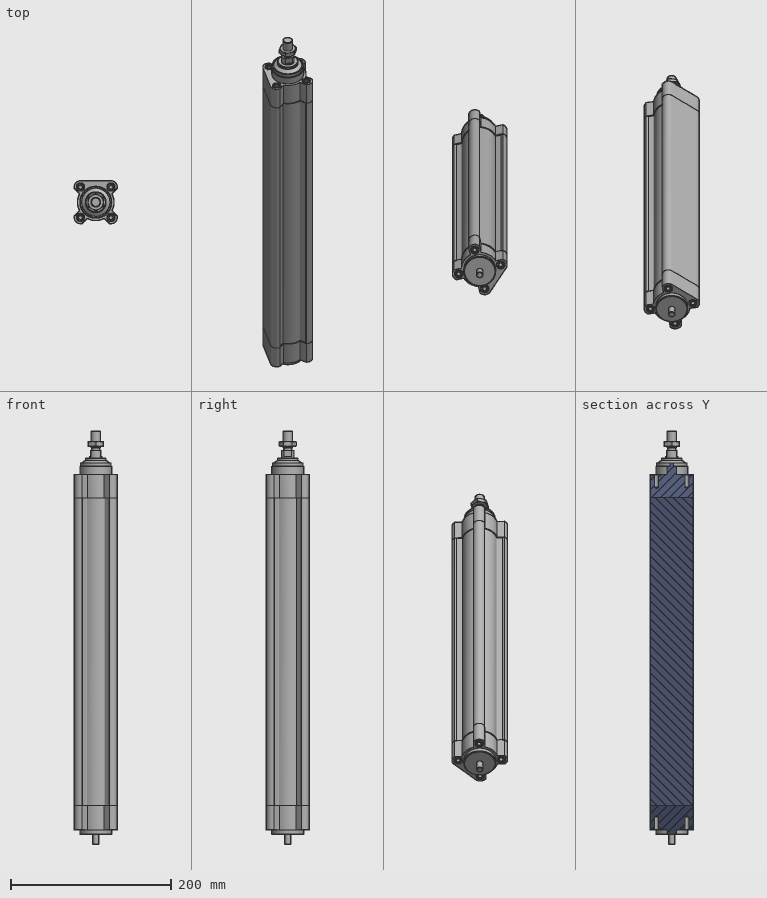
import cadquery as cq
import math


OVERALL_LENGTH = 515.9
FRONT_FACE_DEPTH = 54.0
FRONT_CAP_LENGTH = 29.5
REAR_CAP_LENGTH = 30.0
REAR_COLLAR_LENGTH = 6.2
SHAFT_LENGTH = 12.0

BODY_SIZE = 54.0
HALF_SIZE = BODY_SIZE / 2
SCREW_OFFSET = 19.0
EAR_RADIUS = HALF_SIZE - SCREW_OFFSET
EAR_HALF_WIDTH = 7.0
EAR_STEP = EAR_HALF_WIDTH * math.sqrt(2)
WALL_BASE_Y = 14.0
CAP_BARREL_RADIUS = 23.0
TUBE_BARREL_RADIUS = 22.0
TUBE_NECK_HALF_WIDTH = 5.5
TUBE_NECK_STEP = TUBE_NECK_HALF_WIDTH * math.sqrt(2)
TUBE_NECK_REACH = 28.7
TUBE_ROOT_FILLET = 1.2

SCREW_RECESS_DIAMETER = 10.5
SCREW_RECESS_DEPTH = 2.0
SCREW_HEAD_DIAMETER = 9.0
THREAD_DIAMETER = 6.0
THREAD_CORE_DIAMETER = 4.92
THREAD_DEPTH = 16.0
DRILL_TIP_ANGLE = 118.0

COLLAR_DIAMETER = 40.0
COLLAR_STEP_HEIGHT = 9.5
COLLAR_STEP_CHAMFER = 0.8
COLLAR_UPPER_DIAMETER = 38.4
COLLAR_TOP_HEIGHT = 14.2
CONE_BASE_DIAMETER = 35.2
CONE_TOP_DIAMETER = 26.0
CONE_TOP_HEIGHT = 17.5
NOSE_TOP_HEIGHT = 20.5
NOSE_TOP_DIAMETER = 24.0
REAR_COLLAR_CHAMFER = 1.0

SHAFT_DIAMETER = 8.0
SHAFT_CHAMFER = 0.7

ROD_DIAMETER = 16.0
ROD_FLAT_WIDTH = 13.0
ROD_FLAT_LENGTH = 7.8
ROD_THREAD_LENGTH = 24.0
ROD_THREAD_DIAMETER = 12.0
ROD_CORE_DIAMETER = 10.47
ROD_UNDERCUT_LENGTH = 3.0
ROD_CHAMFER = (ROD_THREAD_DIAMETER - ROD_CORE_DIAMETER) / 2

NUT_WIDTH = 19.0
NUT_HEIGHT = 6.0
NUT_TOP_DEPTH = 13.0
NUT_CHAMFER_ANGLE = 30.0

ROD_TIP_Z = FRONT_FACE_DEPTH
TUBE_TOP_Z = -FRONT_CAP_LENGTH
BOTTOM_Z = ROD_TIP_Z - OVERALL_LENGTH
REAR_COLLAR_END_Z = BOTTOM_Z + SHAFT_LENGTH
REAR_FACE_Z = REAR_COLLAR_END_Z + REAR_COLLAR_LENGTH
TUBE_BOTTOM_Z = REAR_FACE_Z + REAR_CAP_LENGTH

SCREW_POINTS = [(x * SCREW_OFFSET, y * SCREW_OFFSET) for x in (-1, 1) for y in (-1, 1)]


def revolve(points):
    """Solid of revolution about Z from a closed outline of (radius, z) points."""
    return cq.Workplane("XZ").polyline(points).close().revolve(360, (0, 0, 0), (0, 1, 0))


def ear(length, neck_step, neck_reach=None):
    """One corner ear, running from the axis out to its rounded end at (+X, +Y).

    Its sides follow the lines x - y = +-neck_step out to neck_reach along the diagonal,
    or straight out to the rounded end when no reach is given.
    """
    arc_reach = SCREW_OFFSET + EAR_RADIUS / math.sqrt(2)
    left_side = [(HALF_SIZE - EAR_STEP, HALF_SIZE)]
    if neck_reach is not None:
        neck_middle = neck_reach / math.sqrt(2)
        left_side.append((neck_middle - neck_step / 2, neck_middle + neck_step / 2))
    left_side.append((0, neck_step))
    right_side = [(y, x) for x, y in reversed(left_side)]
    return (
        cq.Workplane("XY")
        .polyline([(0, 0)] + right_side + [(HALF_SIZE, SCREW_OFFSET)])
        .threePointArc((arc_reach, arc_reach), (SCREW_OFFSET, HALF_SIZE))
        .polyline(left_side, includeCurrent=True)
        .close()
        .extrude(length)
    )


def body_profile(bottom_z, top_z, barrel_radius, neck_step, neck_reach=None):
    """Round barrel with four corner ears and a flat wall between the two +Y ears."""
    length = top_z - bottom_z
    profile = cq.Workplane("XY").circle(barrel_radius).extrude(length)
    corner_ear = ear(length, neck_step, neck_reach)
    for quarter in range(4):
        profile = profile.union(corner_ear.rotate((0, 0, 0), (0, 0, 1), 90 * quarter))
    wall_depth = HALF_SIZE - WALL_BASE_Y
    wall = cq.Workplane("XY", origin=(0, WALL_BASE_Y, 0))
    wall = wall.box(2 * SCREW_OFFSET, wall_depth, length, centered=(True, False, False))
    return profile.union(wall).clean().translate((0, 0, bottom_z))


def cap_block(bottom_z, top_z):
    """Body section of a cap, with ears of constant width."""
    return body_profile(bottom_z, top_z, CAP_BARREL_RADIUS, EAR_STEP)


def screw_hole():
    """Cutter for one ear: ring recess around the screw head and a blind threaded hole, mouth at Z = 0."""
    core_radius = THREAD_CORE_DIAMETER / 2
    thread_radius = THREAD_DIAMETER / 2
    tip_height = core_radius / math.tan(math.radians(DRILL_TIP_ANGLE / 2))
    hole = revolve([
        (0, 0),
        (thread_radius, 0),
        (core_radius, core_radius - thread_radius),
        (core_radius, -THREAD_DEPTH),
        (0, -THREAD_DEPTH - tip_height),
    ])
    ring = (
        cq.Workplane("XY")
        .circle(SCREW_RECESS_DIAMETER / 2)
        .circle(SCREW_HEAD_DIAMETER / 2)
        .extrude(-SCREW_RECESS_DEPTH)
    )
    return hole.union(ring)


def make_front_cap():
    cap = cap_block(TUBE_TOP_Z, 0)
    collar = revolve([
        (0, 0),
        (COLLAR_DIAMETER / 2, 0),
        (COLLAR_DIAMETER / 2, COLLAR_STEP_HEIGHT),
        (COLLAR_UPPER_DIAMETER / 2, COLLAR_STEP_HEIGHT + COLLAR_STEP_CHAMFER),
        (COLLAR_UPPER_DIAMETER / 2, COLLAR_TOP_HEIGHT),
        (CONE_BASE_DIAMETER / 2, COLLAR_TOP_HEIGHT),
        (CONE_TOP_DIAMETER / 2, CONE_TOP_HEIGHT),
        (CONE_TOP_DIAMETER / 2, NOSE_TOP_HEIGHT - (CONE_TOP_DIAMETER - NOSE_TOP_DIAMETER) / 2),
        (NOSE_TOP_DIAMETER / 2, NOSE_TOP_HEIGHT),
        (0, NOSE_TOP_HEIGHT),
    ])
    cap = cap.union(collar)
    hole = screw_hole()
    for x, y in SCREW_POINTS:
        cap = cap.cut(hole.translate((x, y, 0)))
    bore_length = FRONT_CAP_LENGTH + NOSE_TOP_HEIGHT
    bore = cq.Workplane("XY", origin=(0, 0, TUBE_TOP_Z)).circle(ROD_DIAMETER / 2).extrude(bore_length)
    return cap.cut(bore)


def make_tube():
    tube = body_profile(TUBE_BOTTOM_Z, TUBE_TOP_Z, TUBE_BARREL_RADIUS, TUBE_NECK_STEP, TUBE_NECK_REACH)
    root_reach = math.sqrt(TUBE_BARREL_RADIUS**2 - TUBE_NECK_HALF_WIDTH**2)
    root_far = (root_reach + TUBE_NECK_HALF_WIDTH) / math.sqrt(2)
    root_near = (root_reach - TUBE_NECK_HALF_WIDTH) / math.sqrt(2)
    middle_z = (TUBE_BOTTOM_Z + TUBE_TOP_Z) / 2
    for side in (-1, 1):
        for x, y in ((root_far, -root_near), (root_near, -root_far)):
            root = cq.selectors.NearestToPointSelector((side * x, y, middle_z))
            tube = tube.edges("|Z").edges(root).fillet(TUBE_ROOT_FILLET)
    return tube


def make_rear_cap():
    """Rear cap with its centring collar and the drive shaft stub."""
    cap = cap_block(REAR_FACE_Z, TUBE_BOTTOM_Z)
    collar_radius = COLLAR_DIAMETER / 2
    shaft_radius = SHAFT_DIAMETER / 2
    collar_and_shaft = revolve([
        (0, REAR_FACE_Z),
        (collar_radius, REAR_FACE_Z),
        (collar_radius, REAR_COLLAR_END_Z + REAR_COLLAR_CHAMFER),
        (collar_radius - REAR_COLLAR_CHAMFER, REAR_COLLAR_END_Z),
        (shaft_radius, REAR_COLLAR_END_Z),
        (shaft_radius, BOTTOM_Z + SHAFT_CHAMFER),
        (shaft_radius - SHAFT_CHAMFER, BOTTOM_Z),
        (0, BOTTOM_Z),
    ])
    cap = cap.union(collar_and_shaft)
    hole = screw_hole().rotate((0, 0, 0), (1, 0, 0), 180)
    for x, y in SCREW_POINTS:
        cap = cap.cut(hole.translate((x, y, REAR_FACE_Z)))
    return cap


def make_rod():
    """Rod from the tube end up to its tip, with wrench flats, undercut and thread."""
    shoulder_z = ROD_TIP_Z - ROD_THREAD_LENGTH
    undercut_z = shoulder_z + ROD_UNDERCUT_LENGTH
    core_radius = ROD_CORE_DIAMETER / 2
    thread_radius = ROD_THREAD_DIAMETER / 2
    rod = revolve([
        (0, TUBE_TOP_Z),
        (ROD_DIAMETER / 2, TUBE_TOP_Z),
        (ROD_DIAMETER / 2, shoulder_z),
        (core_radius, shoulder_z),
        (core_radius, undercut_z),
        (thread_radius, undercut_z + ROD_CHAMFER),
        (thread_radius, ROD_TIP_Z - ROD_CHAMFER),
        (core_radius, ROD_TIP_Z),
        (0, ROD_TIP_Z),
    ])
    for side in (-1, 1):
        flat = cq.Workplane("XY").box(
            ROD_DIAMETER, 2 * ROD_DIAMETER, ROD_FLAT_LENGTH, centered=(True, True, False)
        )
        flat_x = side * (ROD_FLAT_WIDTH + ROD_DIAMETER) / 2
        rod = rod.cut(flat.translate((flat_x, 0, shoulder_z - ROD_FLAT_LENGTH)))
    return rod


def make_nut():
    """Hexagon nut with corners along Y, chamfered on both faces."""
    corner_radius = NUT_WIDTH / math.sqrt(3)
    flat_radius = NUT_WIDTH / 2
    chamfer_height = (corner_radius - flat_radius) * math.tan(math.radians(NUT_CHAMFER_ANGLE))
    hexagon = cq.Workplane("XY").polygon(6, 2 * corner_radius).extrude(NUT_HEIGHT)
    chamfer_envelope = revolve([
        (0, 0),
        (flat_radius, 0),
        (corner_radius, chamfer_height),
        (corner_radius, NUT_HEIGHT - chamfer_height),
        (flat_radius, NUT_HEIGHT),
        (0, NUT_HEIGHT),
    ])
    bore = cq.Workplane("XY").circle(ROD_THREAD_DIAMETER / 2).extrude(NUT_HEIGHT)
    nut = hexagon.rotate((0, 0, 0), (0, 0, 1), 90).intersect(chamfer_envelope).cut(bore)
    return nut.translate((0, 0, ROD_TIP_Z - NUT_TOP_DEPTH - NUT_HEIGHT))


front_cap = make_front_cap()
tube = make_tube()
rear_cap = make_rear_cap()
rod = make_rod()
nut = make_nut()

result = cq.Compound.makeCompound([
    front_cap.val(),
    tube.val(),
    rear_cap.val(),
    rod.val(),
    nut.val(),
])